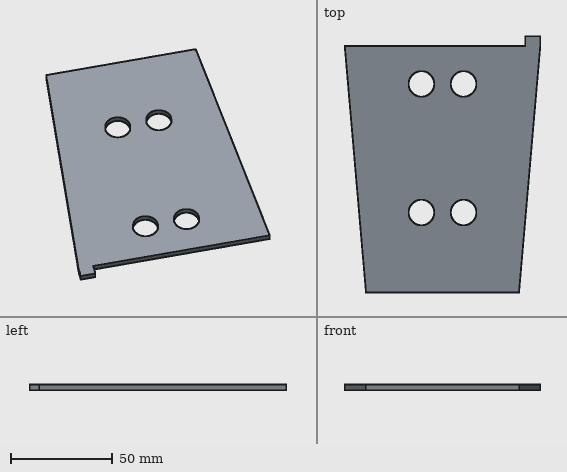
import cadquery as cq

thickness = 3.0
total_length = 126.7
wide_end = 96.7
narrow_end = 75.6
tab_width = 7.5
tab_height = 4.8

hole_diameter = 12.5
hole_spacing_x = 20.8
hole_spacing_y = 63.5
hole_rows_center_y = 71.3

body_length = total_length - tab_height
tab_inner_x = wide_end / 2 - tab_width

plate = (
    cq.Workplane("XY")
    .moveTo(-narrow_end / 2, 0)
    .lineTo(narrow_end / 2, 0)
    .lineTo(wide_end / 2, body_length)
    .lineTo(wide_end / 2, total_length)
    .lineTo(tab_inner_x, total_length)
    .lineTo(tab_inner_x, body_length)
    .lineTo(-wide_end / 2, body_length)
    .close()
    .extrude(thickness)
)

holes = (
    cq.Workplane("XY")
    .center(0, hole_rows_center_y)
    .rarray(hole_spacing_x, hole_spacing_y, 2, 2)
    .circle(hole_diameter / 2)
    .extrude(thickness)
)

result = plate.cut(holes)